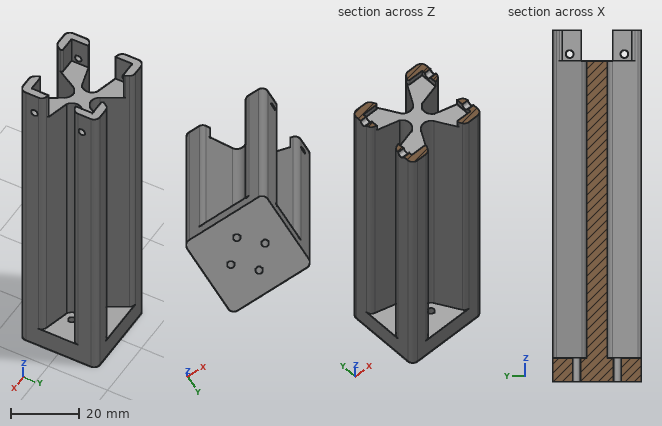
import cadquery as cq
import math

LENGTH_X = 28.16
WIDTH_Y = 25.98
HEIGHT = 103.0
BASE_THICKNESS = 7.0
EDGE_RADIUS = 2.0

ROOT_OFFSET = 6.0
ROOT_RADIUS = 3.0
ROOT_HALF_ARC = 60.0
FLARE_ANGLE_X = 15.0
FLARE_ANGLE_Y = 30.0
GROOVE_OVERRUN = 1.0

POCKET_DEPTH = 9.0
POCKET_X = 23.5
POCKET_Y = 20.5
POST_TIP_RADIUS = 0.5

BASE_HOLE_DIAMETER = 2.2
PIN_HOLE_DIAMETER = 2.2
PIN_HOLE_Y = 8.0
PIN_HOLE_DROP = 7.0

TOLERANCE = 1e-4


def block(height):
    """Plain rectangular block standing on Z = 0."""
    return cq.Workplane("XY").box(LENGTH_X, WIDTH_Y, height, centered=(True, True, False))


def groove_cutter(half_size, flare_angle, direction):
    """Groove whose straight walls run from the ends of the root arc out past the face."""
    half_arc = math.radians(ROOT_HALF_ARC)
    root_end_x = ROOT_OFFSET - ROOT_RADIUS * math.cos(half_arc)
    root_end_y = ROOT_RADIUS * math.sin(half_arc)
    mouth_x = half_size + GROOVE_OVERRUN
    mouth_y = root_end_y + (mouth_x - root_end_x) * math.tan(math.radians(flare_angle))
    return (
        cq.Workplane("XY")
        .workplane(offset=BASE_THICKNESS)
        .moveTo(mouth_x, -mouth_y)
        .lineTo(root_end_x, -root_end_y)
        .threePointArc((ROOT_OFFSET - ROOT_RADIUS, 0), (root_end_x, root_end_y))
        .lineTo(mouth_x, mouth_y)
        .close()
        .extrude(HEIGHT - BASE_THICKNESS)
        .rotate((0, 0, 0), (0, 0, 1), direction)
    )


def on_outer_face(edge):
    """True for an edge lying on one of the four sides of the block."""
    centre = edge.Center()
    on_x_side = abs(abs(centre.x) - LENGTH_X / 2) < TOLERANCE
    on_y_side = abs(abs(centre.y) - WIDTH_Y / 2) < TOLERANCE
    return on_x_side or on_y_side


def column():
    """Grooved column above the base, with its corners and groove mouths rounded."""
    body = block(HEIGHT - BASE_THICKNESS).translate((0, 0, BASE_THICKNESS))
    for direction in (0, 180):
        body = body.cut(groove_cutter(LENGTH_X / 2, FLARE_ANGLE_X, direction))
    for direction in (90, 270):
        body = body.cut(groove_cutter(WIDTH_Y / 2, FLARE_ANGLE_Y, direction))
    return body.edges("|Z").filter(on_outer_face).fillet(EDGE_RADIUS)


def top_pocket():
    """Cutter for the rectangular pocket between the corner posts."""
    return (
        cq.Workplane("XY")
        .workplane(offset=HEIGHT - POCKET_DEPTH)
        .rect(POCKET_X, POCKET_Y)
        .extrude(POCKET_DEPTH)
    )


def on_post_tip(edge):
    """True for an edge where a Y wall of the pocket meets the wall of a +/-Y groove."""
    centre = edge.Center()
    on_pocket_wall = abs(abs(centre.y) - POCKET_Y / 2) < TOLERANCE
    return on_pocket_wall and abs(centre.x) < POCKET_X / 2 - TOLERANCE


def base_holes():
    """Vertical holes through the base, concentric with the groove roots."""
    return (
        cq.Workplane("XY")
        .polarArray(ROOT_OFFSET, 0, 360, 4)
        .circle(BASE_HOLE_DIAMETER / 2)
        .extrude(BASE_THICKNESS)
    )


def pin_holes():
    """Holes along X through the walls of the corner posts."""
    return (
        cq.Workplane("YZ")
        .pushPoints([(side * PIN_HOLE_Y, HEIGHT - PIN_HOLE_DROP) for side in (-1, 1)])
        .circle(PIN_HOLE_DIAMETER / 2)
        .extrude(LENGTH_X / 2, both=True)
    )


base = block(BASE_THICKNESS).edges("|Z").fillet(EDGE_RADIUS)
posts_and_base = base.union(column()).cut(top_pocket())
rounded = posts_and_base.edges("|Z").filter(on_post_tip).fillet(POST_TIP_RADIUS)
result = rounded.cut(base_holes()).cut(pin_holes())